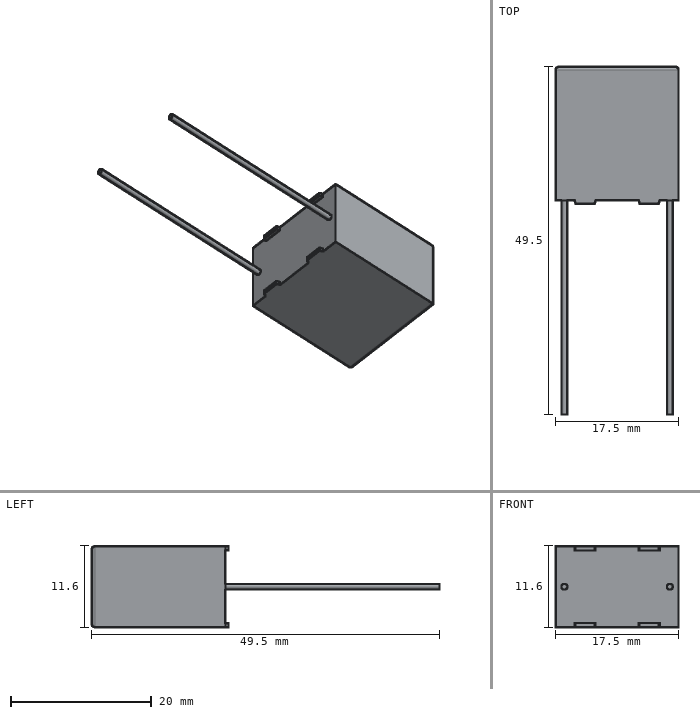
import cadquery as cq

case_width = 17.5
case_height = 11.55
case_length = 19.0
back_edge_radius = 0.5

foot_root_width = 3.0
foot_tip_width = 2.7
foot_height = 0.6
foot_length = 0.5
foot_pitch = 9.1

overall_length = 49.5
lead_diameter = 0.85
lead_pitch = 15.0
lead_length = overall_length - case_length


def make_foot(x_center, side):
    """One foot, narrowing towards its tip; side is +1 at the top of the case and -1 at the bottom."""
    half_root = foot_root_width / 2
    half_tip = foot_tip_width / 2
    z_center = side * (case_height - foot_height) / 2
    outline = cq.Workplane("XY", origin=(x_center, 0, z_center)).polyline([
        (-half_root, 0),
        (-half_tip, -foot_length),
        (half_tip, -foot_length),
        (half_root, 0),
    ])
    return outline.close().extrude(foot_height / 2, both=True)


def make_case():
    """Box rounded around its back face, with four feet on its front face."""
    case = cq.Workplane("XY").box(case_width, case_length, case_height)
    case = case.translate((0, case_length / 2, 0))
    case = case.faces(">Y").edges().fillet(back_edge_radius)
    for x_center in (-foot_pitch / 2, foot_pitch / 2):
        for side in (-1, 1):
            case = case.union(make_foot(x_center, side))
    return case.clean()


def make_lead(x_center):
    """Straight round wire running forward from the front face of the case."""
    front_plane = cq.Workplane("XZ", origin=(x_center, 0, 0))
    return front_plane.circle(lead_diameter / 2).extrude(lead_length)


case = make_case()
leads = [make_lead(x_center) for x_center in (-lead_pitch / 2, lead_pitch / 2)]

result = cq.Compound.makeCompound([case.val(), *[lead.val() for lead in leads]])